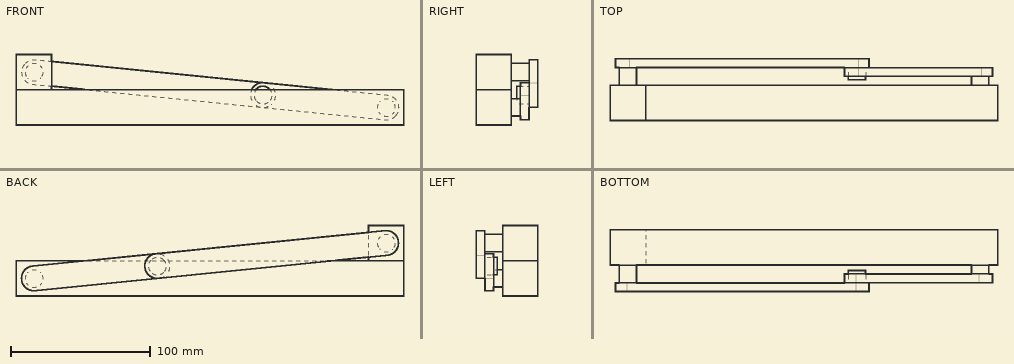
import cadquery as cq
import math


section = 25.4
bar_length = 278.13

arm_thickness = 6.35
arm_width = 17.78
pin_diameter = 12.7
bar_pin_length = 6.35
joint_pin_projection = 2.54
long_arm_share = 0.65

bar_back = section
short_arm_front = bar_back + bar_pin_length
long_arm_front = short_arm_front + arm_thickness

half_section = section / 2
block_pivot = (half_section, section + half_section)
bar_pivot = (bar_length - half_section, half_section)
joint_pivot = tuple(
    start + long_arm_share * (end - start)
    for start, end in zip(block_pivot, bar_pivot)
)


def make_bar():
    return cq.Workplane("XY").box(bar_length, section, section, centered=False)


def make_block():
    return cq.Workplane("XY").box(section, section, section, centered=False).translate((0, 0, section))


def cylinder_along_y(pivot, y_front, y_back):
    """Pin or hole cylinder around a pivot, between two Y positions."""
    x, z = pivot
    plane = cq.Workplane("XZ", origin=(x, y_back, z))
    return plane.circle(pin_diameter / 2).extrude(y_back - y_front)


def arm_plate(start, end, y_front):
    """Flat plate with round ends centred on its two pivots."""
    run = end[0] - start[0]
    rise = end[1] - start[1]
    slot_length = math.hypot(run, rise) + arm_width
    angle = math.degrees(math.atan2(rise, run))
    middle = ((start[0] + end[0]) / 2, y_front + arm_thickness, (start[1] + end[1]) / 2)
    return cq.Workplane("XZ", origin=middle).slot2D(slot_length, arm_width, angle).extrude(arm_thickness)


def make_long_arm():
    """Plate with a pin reaching the block and a joint pin through the short arm."""
    arm_back = long_arm_front + arm_thickness
    plate = arm_plate(block_pivot, joint_pivot, long_arm_front)
    block_pin = cylinder_along_y(block_pivot, bar_back, arm_back)
    joint_pin = cylinder_along_y(joint_pivot, short_arm_front - joint_pin_projection, arm_back)
    return plate.union(block_pin).union(joint_pin)


def make_short_arm():
    """Plate with a hole for the joint pin and a pin reaching the bar."""
    arm_back = short_arm_front + arm_thickness
    plate = arm_plate(joint_pivot, bar_pivot, short_arm_front)
    joint_hole = cylinder_along_y(joint_pivot, short_arm_front, arm_back)
    bar_pin = cylinder_along_y(bar_pivot, bar_back, arm_back)
    return plate.cut(joint_hole).union(bar_pin)


bar = make_bar()
block = make_block()
long_arm = make_long_arm()
short_arm = make_short_arm()

result = cq.Compound.makeCompound([bar.val(), block.val(), long_arm.val(), short_arm.val()])